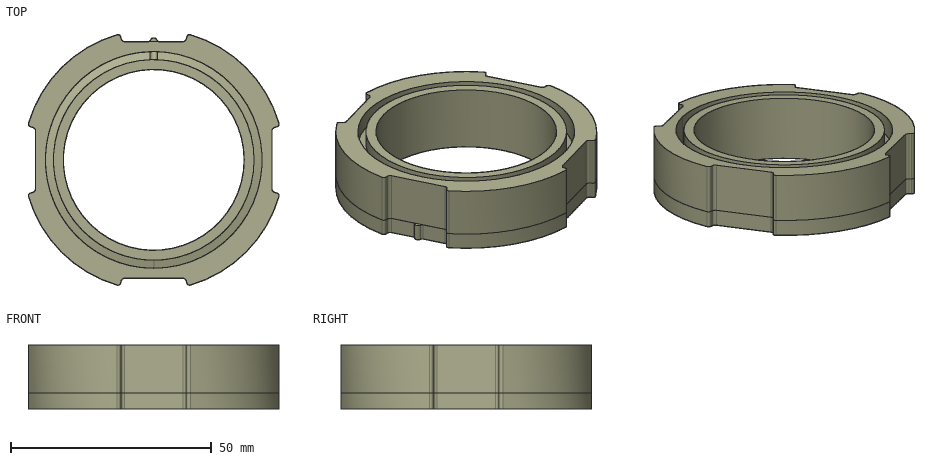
import cadquery as cq
import math

OUTER_DIAMETER = 65.1
FLAT_DISTANCE = 29.5
NOTCH_HALF_ANGLE = 15.0
NOTCH_COUNT = 4
ROOT_RADIUS = 0.9
TIP_RADIUS = 0.75

TOTAL_HEIGHT = 16.0
FLANGE_HEIGHT = 4.0
TUBE_INNER_RADIUS = 45.0 / 2
TUBE_OUTER_RADIUS = 50.0 / 2
RING_BORE_RADIUS = 54.0 / 2

RAMP_START_ANGLE = 90.0
RAMP_START_Z = 8.75
RAMP_PITCH = 4.0
RAMP_SLOPE = 0.26
CUTTER_INNER_RADIUS = TUBE_OUTER_RADIUS - 0.6
CUTTER_INNER_RISE = RAMP_SLOPE * (RING_BORE_RADIUS - CUTTER_INNER_RADIUS)

GROOVE_RADIUS = 0.9
MARK_RADIUS = 0.9
MARK_CENTRE = FLAT_DISTANCE + 0.05
MARK_FOOT_RADIUS = 0.5
MARK_ROOT = 0.6


def is_tip(edge):
    """True for an upright edge on the outer diameter."""
    centre = edge.Center()
    return math.hypot(centre.x, centre.y) > OUTER_DIAMETER / 2 - TIP_RADIUS


def notched_disc(height):
    """Round disc with four radial-walled notches and rounded corners."""
    disc = cq.Workplane("XY").circle(OUTER_DIAMETER / 2).extrude(height)
    slope = math.tan(math.radians(NOTCH_HALF_ANGLE))
    outside = OUTER_DIAMETER / 2 + TIP_RADIUS
    notch = (
        cq.Workplane("XY")
        .moveTo(-FLAT_DISTANCE * slope, FLAT_DISTANCE)
        .lineTo(FLAT_DISTANCE * slope, FLAT_DISTANCE)
        .lineTo(outside * slope, outside)
        .lineTo(-outside * slope, outside)
        .close()
        .extrude(height)
    )
    for i in range(NOTCH_COUNT):
        disc = disc.cut(notch.rotate((0, 0, 0), (0, 0, 1), i * 360 / NOTCH_COUNT))
    corners = disc.edges("|Z")
    roots = corners.filter(lambda edge: not is_tip(edge))
    disc = roots.fillet(ROOT_RADIUS)
    return disc.edges("|Z").filter(is_tip).fillet(TIP_RADIUS)


def index_mark():
    """Half-round pip with flared feet, standing on the +Y notch floor of the flange."""
    foot_height = FLAT_DISTANCE + MARK_FOOT_RADIUS - MARK_CENTRE
    reach = MARK_RADIUS + MARK_FOOT_RADIUS
    foot_x = math.sqrt(reach**2 - foot_height**2)
    touch_x = foot_x * MARK_RADIUS / reach
    touch_y = MARK_CENTRE + foot_height * MARK_RADIUS / reach
    down = math.radians(-90)
    inward = math.atan2(-foot_height, -foot_x)
    middle = (down + inward) / 2
    bend_x = foot_x + MARK_FOOT_RADIUS * math.cos(middle)
    bend_y = FLAT_DISTANCE + MARK_FOOT_RADIUS * (1 + math.sin(middle))
    root = FLAT_DISTANCE - MARK_ROOT
    return (
        cq.Workplane("XY")
        .moveTo(-foot_x, root)
        .lineTo(-foot_x, FLAT_DISTANCE)
        .threePointArc((-bend_x, bend_y), (-touch_x, touch_y))
        .threePointArc((0, MARK_CENTRE + MARK_RADIUS), (touch_x, touch_y))
        .threePointArc((bend_x, bend_y), (foot_x, FLAT_DISTANCE))
        .lineTo(foot_x, root)
        .close()
        .extrude(FLANGE_HEIGHT)
    )


def make_base():
    """Notched flange with the central tube and the index mark."""
    tube = cq.Workplane("XY").circle(TUBE_OUTER_RADIUS).extrude(TOTAL_HEIGHT)
    bore = cq.Workplane("XY").circle(TUBE_INNER_RADIUS).extrude(TOTAL_HEIGHT)
    return notched_disc(FLANGE_HEIGHT).union(index_mark()).union(tube).cut(bore)


def half_turn_cutter(half):
    """Everything above half a turn of the ramp, out to the ring bore; half is 0 or 1."""
    path = cq.Workplane(obj=cq.Wire.makeHelix(RAMP_PITCH, RAMP_PITCH / 2, RING_BORE_RADIUS))
    return (
        cq.Workplane("XZ")
        .moveTo(RING_BORE_RADIUS, 0)
        .lineTo(RING_BORE_RADIUS, TOTAL_HEIGHT)
        .lineTo(CUTTER_INNER_RADIUS, TOTAL_HEIGHT)
        .lineTo(CUTTER_INNER_RADIUS, CUTTER_INNER_RISE)
        .close()
        .sweep(path, isFrenet=True)
        .rotate((0, 0, 0), (0, 0, 1), RAMP_START_ANGLE + 180 * half)
        .translate((0, 0, RAMP_START_Z + half * RAMP_PITCH / 2))
    )


def groove_cutter():
    """Radial half-round groove sloped like the ramp, open upwards so the ramp ends in a plain wall."""
    slope_angle = math.degrees(math.atan(RAMP_SLOPE))
    groove = (
        cq.Workplane("XZ")
        .moveTo(-GROOVE_RADIUS, 0)
        .threePointArc((0, -GROOVE_RADIUS), (GROOVE_RADIUS, 0))
        .lineTo(GROOVE_RADIUS, TOTAL_HEIGHT)
        .lineTo(-GROOVE_RADIUS, TOTAL_HEIGHT)
        .close()
        .extrude(TUBE_INNER_RADIUS / 2, both=True)
        .rotate((0, 0, 0), (1, 0, 0), -slope_angle)
        .translate((0, CUTTER_INNER_RADIUS, RAMP_START_Z + CUTTER_INNER_RISE))
    )
    channel = cq.Workplane("XY").circle(RING_BORE_RADIUS).circle(CUTTER_INNER_RADIUS).extrude(TOTAL_HEIGHT)
    return groove.intersect(channel)


def make_ring():
    """Notched ring on the flange, with a helical-floored channel around the tube."""
    bore = cq.Workplane("XY").circle(TUBE_OUTER_RADIUS).extrude(TOTAL_HEIGHT)
    ring = notched_disc(TOTAL_HEIGHT - FLANGE_HEIGHT).translate((0, 0, FLANGE_HEIGHT)).cut(bore)
    for half in range(2):
        ring = ring.cut(half_turn_cutter(half))
    return ring.cut(groove_cutter())


base = make_base()
ring = make_ring()
result = cq.Compound.makeCompound([base.val(), ring.val()])